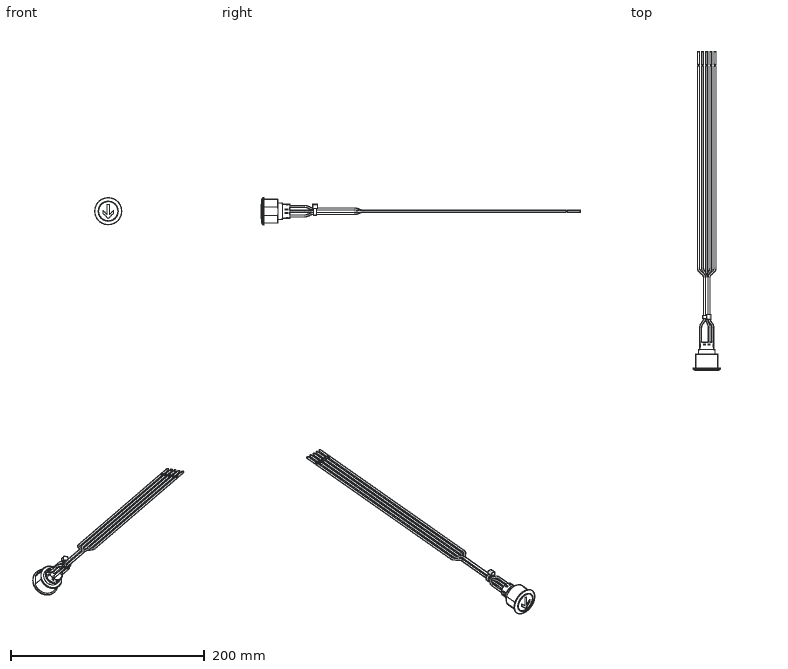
import cadquery as cq
import math

TOTAL_LENGTH = 329.5

FLANGE_DIA = 28.0
FLANGE_FRONT = 1.5
FLANGE_BACK = 2.5
BEZEL_FACE = 0.3
BEZEL_BULGE_DIA = 25.0
BEZEL_BULGE_Y = 0.5
CAP_DIA = 19.8
CAP_GAP = 0.5
CAP_GAP_FLOOR = 1.0
BODY_DIA = 24.7
BODY_BACK = 17.5
BODY_CHAMFER = 0.5
FLAT_WIDTH = 8.5
NECK_DIA = 17.5
NECK_BACK = 21.7
SOCKET_DIA = 14.8
SOCKET_BACK = 29.5

POCKET_DEPTH = 0.5
POCKET_BACK = 27.7
UPRIGHT_POCKET_SPREAD = 2.3
UPRIGHT_POCKET_WIDTH = 1.5
UPRIGHT_POCKET_LENGTH = 1.3
SIDE_POCKET_SPREAD = 2.0
SIDE_POCKET_WIDTH = 1.0
SIDE_POCKET_LENGTH = 3.3

ARROW_HEIGHT = BEZEL_FACE
ARROW_TOP = 7.0
ARROW_TIP = -7.5
ARROW_SHAFT = 2.3
ARROW_HALF_SPAN = 5.5
ARROW_BARB = 3.0

WIRE_DIA = 2.2
CORE_DIA = 1.1
STRIP_LENGTH = 13.2
STRIP_GAP = 1.5
BUNDLE_PITCH = 2.3
BEND_TRIM = 2.0
TERMINAL_SIDE = 6.3
TERMINAL_OFFSET = 2.47
TERMINAL_RISE = 5.0
SPLAY_START = 46.8
SPLAY_END = 52.0
FAN_START = 98.0
FAN_END = 104.0
TAIL_PITCH = 4.3

TIE_Y = 55.7
TIE_WIDTH = 3.0
TIE_DIA = 8.5
HEAD_X = 2.0
HEAD_WIDTH = 5.0
HEAD_LENGTH = 5.3
HEAD_BOTTOM = 3.0
HEAD_TOP = 7.2
HEAD_ROUND = 1.3


def disc(diameter, start, end):
    """Round bar along Y from start to end."""
    return cq.Workplane("XZ", origin=(0, start, 0)).circle(diameter / 2).extrude(start - end)


def bezel_and_cap():
    """Domed bezel with its flange, and the round cap set in it behind a narrow gap."""
    gap_dia = CAP_DIA + 2 * CAP_GAP
    bezel = (
        cq.Workplane("XY")
        .moveTo(0, BEZEL_FACE)
        .lineTo(gap_dia / 2, BEZEL_FACE)
        .threePointArc((BEZEL_BULGE_DIA / 2, BEZEL_BULGE_Y), (FLANGE_DIA / 2, FLANGE_FRONT))
        .lineTo(FLANGE_DIA / 2, FLANGE_BACK)
        .lineTo(0, FLANGE_BACK)
        .close()
        .revolve(360, (0, 0), (0, 1))
    )
    gap = disc(gap_dia, 0, CAP_GAP_FLOOR)
    cap = disc(CAP_DIA, BEZEL_FACE, FLANGE_BACK)
    return bezel.cut(gap).union(cap)


def body():
    """Round barrel with a flat on each X side."""
    barrel = disc(BODY_DIA, FLANGE_BACK, BODY_BACK).faces(">Y").chamfer(BODY_CHAMFER)
    flat_distance = math.sqrt((BODY_DIA / 2) ** 2 - (FLAT_WIDTH / 2) ** 2)
    between_flats = cq.Workplane("XY").box(2 * flat_distance, 2 * BODY_BACK, BODY_DIA)
    return barrel.intersect(between_flats)


def latch_pockets():
    """Two shallow pockets on each of the four sides of the socket."""
    kinds = [
        (90, UPRIGHT_POCKET_SPREAD, UPRIGHT_POCKET_WIDTH, UPRIGHT_POCKET_LENGTH),
        (0, SIDE_POCKET_SPREAD, SIDE_POCKET_WIDTH, SIDE_POCKET_LENGTH),
    ]
    pockets = cq.Workplane("XY")
    for turn, spread, width, length in kinds:
        surface = math.sqrt((SOCKET_DIA / 2) ** 2 - spread ** 2)
        for side in (-1, 1):
            for offset in (-spread, spread):
                place = (side * surface, POCKET_BACK - length / 2, offset)
                pocket = cq.Workplane("XY").box(2 * POCKET_DEPTH, length, width).translate(place)
                pockets = pockets.add(pocket.rotate((0, 0, 0), (0, 1, 0), turn))
    return pockets.combine()


def socket():
    neck = disc(NECK_DIA, BODY_BACK, NECK_BACK)
    return neck.union(disc(SOCKET_DIA, BODY_BACK, SOCKET_BACK).cut(latch_pockets()))


def arrow():
    half_shaft = ARROW_SHAFT / 2
    barb_z = ARROW_TIP + ARROW_HALF_SPAN
    right_side = [
        (half_shaft, ARROW_TOP),
        (half_shaft, ARROW_TIP + ARROW_BARB + half_shaft),
        (ARROW_HALF_SPAN, barb_z + ARROW_BARB),
        (ARROW_HALF_SPAN, barb_z),
    ]
    left_side = [(-x, z) for x, z in reversed(right_side)]
    outline = right_side + [(0, ARROW_TIP)] + left_side
    face = cq.Workplane("XZ", origin=(0, BEZEL_FACE, 0))
    return face.polyline(outline).close().extrude(ARROW_HEIGHT)


def bent_path(corners):
    """Path of straight runs joined by tangent arcs at the corners."""
    edges = []
    start = corners[0]
    for before, corner, after in zip(corners, corners[1:], corners[2:]):
        inward = (corner - before).normalized()
        outward = (after - corner).normalized()
        turn = inward.getAngle(outward)
        arc_start = corner - inward * BEND_TRIM
        arc_end = corner + outward * BEND_TRIM
        chord_middle = (arc_start + arc_end) * 0.5
        to_corner = corner - chord_middle
        sagitta_share = math.tan(turn / 4) / math.tan(turn / 2)
        arc_middle = chord_middle + to_corner * sagitta_share
        edges.append(cq.Edge.makeLine(start, arc_start))
        edges.append(cq.Edge.makeThreePointArc(arc_start, arc_middle, arc_end))
        start = arc_end
    edges.append(cq.Edge.makeLine(start, corners[-1]))
    return cq.Workplane(cq.Wire.assembleEdges(edges))


def lead(terminal, bundle, tail):
    """One lead through its (x, z) places at the terminal, in the bundle and at the tail."""
    slug_start = TOTAL_LENGTH - STRIP_LENGTH
    core_start = slug_start - STRIP_GAP
    stations = [
        (terminal, SOCKET_BACK),
        (terminal, SPLAY_START),
        (bundle, SPLAY_END),
        (bundle, FAN_START),
        (tail, FAN_END),
        (tail, core_start),
    ]
    if bundle == tail:
        stations = stations[:3] + stations[-1:]
    corners = [cq.Vector(x, y, z) for (x, z), y in stations]
    section = cq.Workplane("XZ", origin=corners[0].toTuple()).circle(WIRE_DIA / 2)
    insulated = section.sweep(bent_path(corners))
    core = disc(CORE_DIA, core_start, slug_start)
    slug = disc(WIRE_DIA, slug_start, TOTAL_LENGTH)
    tail_x, tail_z = tail
    return insulated.union(core.union(slug).translate((tail_x, 0, tail_z)))


def cable_tie():
    band = disc(TIE_DIA, TIE_Y - TIE_WIDTH / 2, TIE_Y + TIE_WIDTH / 2)
    head = (
        cq.Workplane("XY", origin=(HEAD_X, TIE_Y, HEAD_BOTTOM))
        .rect(HEAD_WIDTH, HEAD_LENGTH)
        .extrude(HEAD_TOP - HEAD_BOTTOM)
        .edges("|Y and >Z")
        .fillet(HEAD_ROUND)
    )
    return band.union(head)


LEADS = [
    ((-TERMINAL_SIDE, 0), (-BUNDLE_PITCH, 0), (-2 * TAIL_PITCH, 0)),
    ((TERMINAL_SIDE, 0), (BUNDLE_PITCH, 0), (2 * TAIL_PITCH, 0)),
    ((TERMINAL_OFFSET, TERMINAL_RISE), (0, BUNDLE_PITCH), (-TAIL_PITCH, 0)),
    ((TERMINAL_OFFSET, -TERMINAL_RISE), (0, -BUNDLE_PITCH), (TAIL_PITCH, 0)),
    ((TERMINAL_OFFSET, 0), (0, 0), (0, 0)),
]

result = bezel_and_cap().union(body()).union(socket()).union(arrow())
for terminal, bundle, tail in LEADS:
    result = result.union(lead(terminal, bundle, tail))
result = result.union(cable_tie())